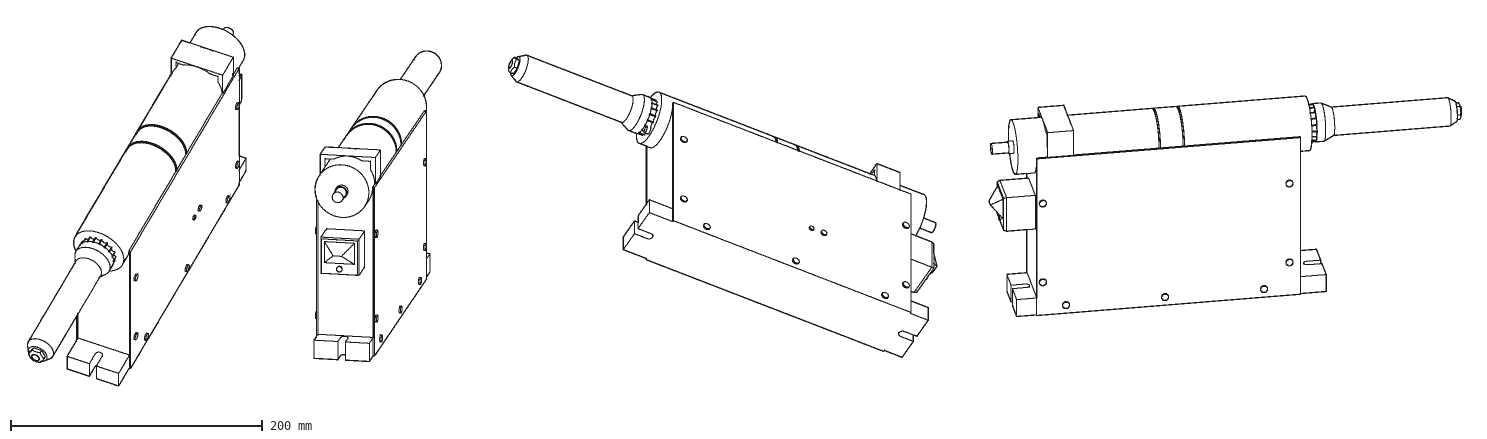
import cadquery as cq
import math

core_width = 45.0
housing_length = 213.0
housing_height = 140.0
cover_thickness = 1.0
core_recess = 0.5
cover_face = core_width / 2 + cover_thickness

foot_height = 15.2
front_foot_length = 21.0
rear_foot_length = 16.0
slot_width = 6.0
slot_length = 14.5

clamp_front = 76.5
clamp_length = 21.0
clamp_top = 162.0
clamp_window_width = 36.5
clamp_window_rise = 18.5

head_height = 1.0
screw_diameter = 5.7
corner_screw_places = [(y, z) for y in (101.5, -97.5) for z in (29.5, 100.0)]
bottom_screw_middle = 3.0
bottom_screw_pitch = 80.0
bottom_screw_z = 7.5
button_z = 53.5
button_places = [(28.0, 5.0), (17.0, 3.8)]

spindle_diameter = 43.8
spindle_z = 140.0
spindle_rear = 121.5
spindle_front = -116.0
groove_centres = (7.0, -12.5)
groove_width = 1.0
groove_diameter = 42.5

inlet_base_diameter = 10.0
inlet_base_length = 4.0
inlet_diameter = 8.8
inlet_end = 139.0

collar_diameter = 31.0
flute_ring_front = -121.5
collar_front = -128.2
cone_front = -136.2
shaft_diameter = 23.0
shaft_front = -230.2
shaft_tip_diameter = 16.5
shaft_tip_front = -236.0

flute_count = 18
flute_ring_diameter = 30.0
flute_diameter = 4.5
flute_circle_radius = 15.2

stop_pin_diameter = 6.0
stop_pin_length = 3.0
stop_pin_drop = 15.2

nut_width = 11.8
nut_front = -240.0
nut_bevel_length = 1.5
nut_end_diameter = 7.0
nut_socket_diameter = 6.0
nut_socket_depth = 3.0

connector_width = 31.0
connector_height = 30.0
connector_z = 88.3
connector_length = 23.0
cap_thickness = 2.3
cap_inset = 0.8
roof_width = 24.5
roof_z = 91.7
roof_height = 8.8
connector_peg_diameter = 4.5
connector_peg_height = 1.0
connector_peg_z = 78.5


def block(width, y_start, y_end, z_start, z_end):
    """Box centred on X = 0 between the given Y and Z limits."""
    plane = cq.Workplane("XY", origin=(0, y_start, z_start))
    return plane.box(width, y_end - y_start, z_end - z_start, centered=(True, False, False))


def rod(diameter, y_start, y_end, z):
    """Cylinder along Y on X = 0, from y_start to a larger y_end."""
    return cq.Workplane("XZ", origin=(0, y_start, z)).circle(diameter / 2).extrude(y_start - y_end)


def foot_slot(foot_end, inward):
    """Open slot cut into a foot from its end; inward is +1 or -1 along Y."""
    straight = slot_length - slot_width / 2
    round_centre = foot_end + inward * straight
    channel = block(slot_width, min(foot_end, round_centre), max(foot_end, round_centre), 0, foot_height)
    round_end = cq.Workplane("XY", origin=(0, round_centre, 0)).circle(slot_width / 2).extrude(foot_height)
    return channel.union(round_end)


def head(y, z, diameter, side):
    """Round head on a cover plate; side is +1 or -1 along X."""
    plane = cq.Workplane("YZ", origin=(side * cover_face, y, z))
    return plane.circle(diameter / 2).extrude(side * head_height)


def make_housing():
    half_length = housing_length / 2
    front_end = -half_length - front_foot_length
    rear_end = half_length + rear_foot_length
    clamp_rear = clamp_front + clamp_length

    core_half_length = half_length - core_recess
    body = block(core_width, -core_half_length, core_half_length, 0, housing_height)
    for side in (-1, 1):
        cover = block(cover_thickness, -half_length, half_length, 0, housing_height)
        body = body.union(cover.translate((side * (core_width + cover_thickness) / 2, 0, 0)))
    body = body.union(block(core_width, front_end, rear_end, 0, foot_height))
    body = body.cut(foot_slot(front_end, 1)).cut(foot_slot(rear_end, -1))

    clamp = block(core_width, clamp_front, clamp_rear, housing_height, clamp_top)
    window_top = spindle_z + clamp_window_rise
    clamp = clamp.cut(block(clamp_window_width, clamp_front, clamp_rear, housing_height, window_top))
    body = body.union(clamp)
    body = body.cut(rod(spindle_diameter, -half_length, half_length, spindle_z))

    bottom_screw_places = [(bottom_screw_middle + i * bottom_screw_pitch, bottom_screw_z) for i in (-1, 0, 1)]
    for y, z in corner_screw_places + bottom_screw_places:
        for side in (-1, 1):
            body = body.union(head(y, z, screw_diameter, side))
    for y, diameter in button_places:
        body = body.union(head(y, button_z, diameter, 1))
    return body


def turned_about_axis(profile):
    """Solid of revolution about the spindle axis from (radius, Y) points."""
    turned = cq.Workplane("XY").polyline(profile).close().revolve(360, (0, 0, 0), (0, 1, 0))
    return turned.translate((0, 0, spindle_z))


def turned_body():
    """Revolved profile from the air inlet at the rear to the shaft tip at the front."""
    inlet_base_end = spindle_rear + inlet_base_length
    profile = [
        (0, inlet_end),
        (inlet_diameter / 2, inlet_end),
        (inlet_diameter / 2, inlet_base_end),
        (inlet_base_diameter / 2, inlet_base_end),
        (inlet_base_diameter / 2, spindle_rear),
        (spindle_diameter / 2, spindle_rear),
        (spindle_diameter / 2, spindle_front),
        (flute_ring_diameter / 2, spindle_front),
        (flute_ring_diameter / 2, flute_ring_front),
        (collar_diameter / 2, flute_ring_front),
        (collar_diameter / 2, collar_front),
        (shaft_diameter / 2, cone_front),
        (shaft_diameter / 2, shaft_front),
        (shaft_tip_diameter / 2, shaft_tip_front),
        (0, shaft_tip_front),
    ]
    return turned_about_axis(profile)


def ring_groove(y):
    """Shallow groove around the spindle, centred at the given Y."""
    start = y - groove_width / 2
    end = y + groove_width / 2
    return rod(spindle_diameter, start, end, spindle_z).cut(rod(groove_diameter, start, end, spindle_z))


def ring_flute(angle):
    """Round axial flute in the rim of the ring between the spindle face and the collar."""
    flute = rod(flute_diameter, flute_ring_front, spindle_front, 0).translate((flute_circle_radius, 0, 0))
    return flute.rotate((0, 0, 0), (0, 1, 0), angle).translate((0, 0, spindle_z))


def collet_nut():
    """Hexagon with a conical bevel round its front end and a conical socket in the middle."""
    corner_radius = nut_width / 2 / math.cos(math.pi / 6)
    hexagon = cq.Workplane("XZ", origin=(0, shaft_tip_front, spindle_z)).polygon(6, 2 * corner_radius)
    hexagon = hexagon.extrude(shaft_tip_front - nut_front)
    turned_outline = [
        (0, shaft_tip_front),
        (corner_radius, shaft_tip_front),
        (corner_radius, nut_front + nut_bevel_length),
        (nut_end_diameter / 2, nut_front),
        (nut_socket_diameter / 2, nut_front),
        (0, nut_front + nut_socket_depth),
    ]
    return hexagon.intersect(turned_about_axis(turned_outline))


def make_spindle():
    body = turned_body()
    for y in groove_centres:
        body = body.cut(ring_groove(y))
    for i in range(flute_count):
        body = body.cut(ring_flute((i + 0.5) * 360 / flute_count))
    pin = rod(stop_pin_diameter, spindle_front - stop_pin_length, spindle_front, spindle_z - stop_pin_drop)
    return body.union(pin).union(collet_nut())


def make_connector():
    bottom = connector_z - connector_height / 2
    top = connector_z + connector_height / 2
    rear_face = housing_length / 2 - core_recess
    shell_end = housing_length / 2 + connector_length
    cap_end = shell_end + cap_thickness

    body = block(connector_width, rear_face, shell_end, bottom, top)
    cap = (
        cq.Workplane("XZ", origin=(0, shell_end, connector_z))
        .rect(connector_width, connector_height)
        .workplane(offset=-cap_thickness)
        .rect(connector_width - 2 * cap_inset, connector_height - 2 * cap_inset)
        .loft()
    )
    body = body.union(cap)

    gable = [(cap_end, roof_z - roof_height), (cap_end + roof_height, roof_z), (cap_end, roof_z + roof_height)]
    roof = cq.Workplane("YZ").polyline(gable).close().extrude(roof_width / 2, both=True)
    hip = [
        (-roof_width / 2, cap_end),
        (-roof_width / 2 + roof_height, cap_end + roof_height),
        (roof_width / 2 - roof_height, cap_end + roof_height),
        (roof_width / 2, cap_end),
    ]
    plan = cq.Workplane("XY").polyline(hip).close().extrude(roof_z + roof_height)
    peg = rod(connector_peg_diameter, cap_end, cap_end + connector_peg_height, connector_peg_z)
    return body.union(roof.intersect(plan)).union(peg)


housing = make_housing()
spindle = make_spindle()
connector = make_connector()
result = cq.Compound.makeCompound([housing.val(), spindle.val(), connector.val()])